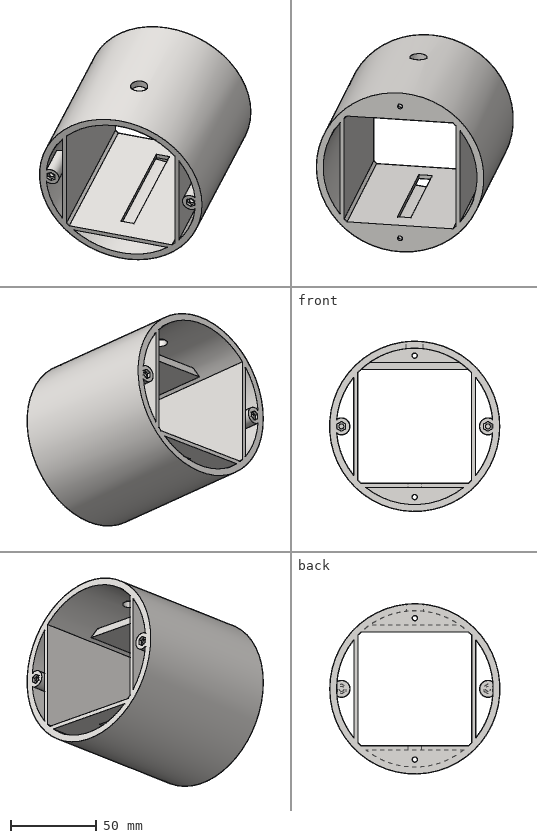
import cadquery as cq

outer_diameter = 100.0
length = 96.2
tube_wall = 4.1
inner_diameter = outer_diameter - 2 * tube_wall
front_y = -length / 2
back_y = length / 2

channel_side = 66.6
channel_half = channel_side / 2
channel_wall = 2.5

shelf_thickness = 4.2
shelf_setback = 35.4
end_plate_thickness = 2.5
end_hole_diameter = 2.9
end_hole_height = 41.5

boss_diameter = 10.0
boss_offset = 43.0
boss_length = 20.0
nut_across_corners = 5.7
nut_depth = 2.0
screw_diameter = 2.9
screw_depth = 12.0

top_hole_diameter = 10.0
top_hole_setback = 36.3
slot_width = 8.0
slot_setback = 13.4


def box_between(x_range, y_range, z_range):
    """Axis-aligned box spanning the given (low, high) ranges."""
    sizes = [high - low for low, high in (x_range, y_range, z_range)]
    corner = (x_range[0], y_range[0], z_range[0])
    return cq.Workplane("XY").box(*sizes, centered=False).translate(corner)


def cylinder_along_y(diameter, start_y, depth, x=0, z=0):
    """Cylinder growing from start_y toward +Y."""
    plane = cq.Workplane("XZ", origin=(x, start_y, z))
    return plane.circle(diameter / 2).extrude(-depth)


full_length = (front_y, back_y)
wall_outer = channel_half + channel_wall
bore = cylinder_along_y(inner_diameter, front_y, length)
tube = cylinder_along_y(outer_diameter, front_y, length).cut(bore)

channel_block = box_between(
    (-wall_outer, wall_outer), full_length, (-wall_outer, outer_diameter / 2)
)
channel_void = box_between(
    (-channel_half, channel_half), full_length, (-channel_half, outer_diameter / 2)
)
channel = channel_block.cut(channel_void).intersect(bore)

shelf = box_between(
    (-channel_half, channel_half),
    (front_y + shelf_setback, back_y),
    (channel_half, channel_half + shelf_thickness),
)

plate_y = (back_y - end_plate_thickness, back_y)
side_range = (-wall_outer, wall_outer)
upper_plate = box_between(side_range, plate_y, (channel_half, outer_diameter / 2))
lower_plate = box_between(side_range, plate_y, (-outer_diameter / 2, -channel_half))

body = tube.union(channel)
for piece in (shelf, upper_plate, lower_plate):
    body = body.union(piece.intersect(bore))

for side in (-1, 1):
    body = body.cut(
        cylinder_along_y(end_hole_diameter, plate_y[0], end_plate_thickness, z=side * end_hole_height)
    )

    boss_x = side * boss_offset
    nut_recess = (
        cq.Workplane("XZ", origin=(boss_x, front_y, 0))
        .transformed(rotate=(0, 0, 90))
        .polygon(6, nut_across_corners)
        .extrude(-nut_depth)
    )
    body = (
        body.union(cylinder_along_y(boss_diameter, front_y, boss_length, x=boss_x))
        .cut(nut_recess)
        .cut(cylinder_along_y(screw_diameter, front_y, screw_depth, x=boss_x))
    )

top_hole = (
    cq.Workplane("XY", origin=(0, front_y + top_hole_setback, channel_half + shelf_thickness))
    .circle(top_hole_diameter / 2)
    .extrude(outer_diameter / 2)
)

floor_slot = box_between(
    (-slot_width / 2, slot_width / 2),
    (front_y + slot_setback, back_y - slot_setback),
    (-wall_outer, -channel_half),
)

result = body.cut(top_hole).cut(floor_slot)